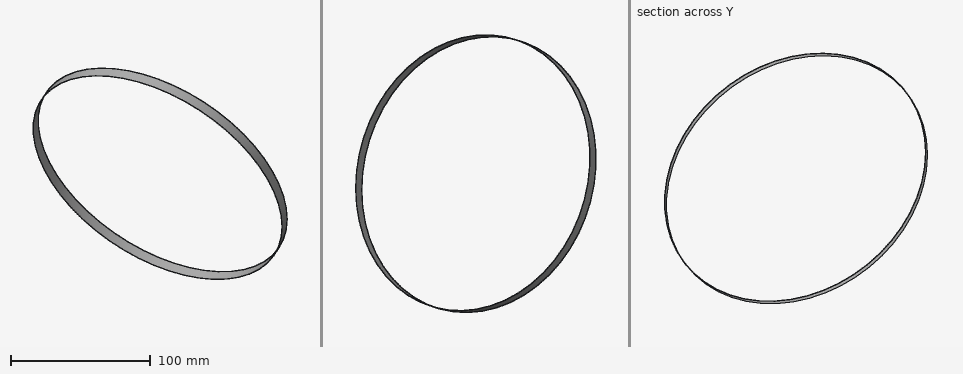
import cadquery as cq

outer_diameter = 200.4
band_width = 8.0
wall_thickness = 0.25

inner_diameter = outer_diameter - 2 * wall_thickness

result = (
    cq.Workplane("XZ", origin=(0, band_width / 2, 0))
    .circle(outer_diameter / 2)
    .circle(inner_diameter / 2)
    .extrude(band_width)
)